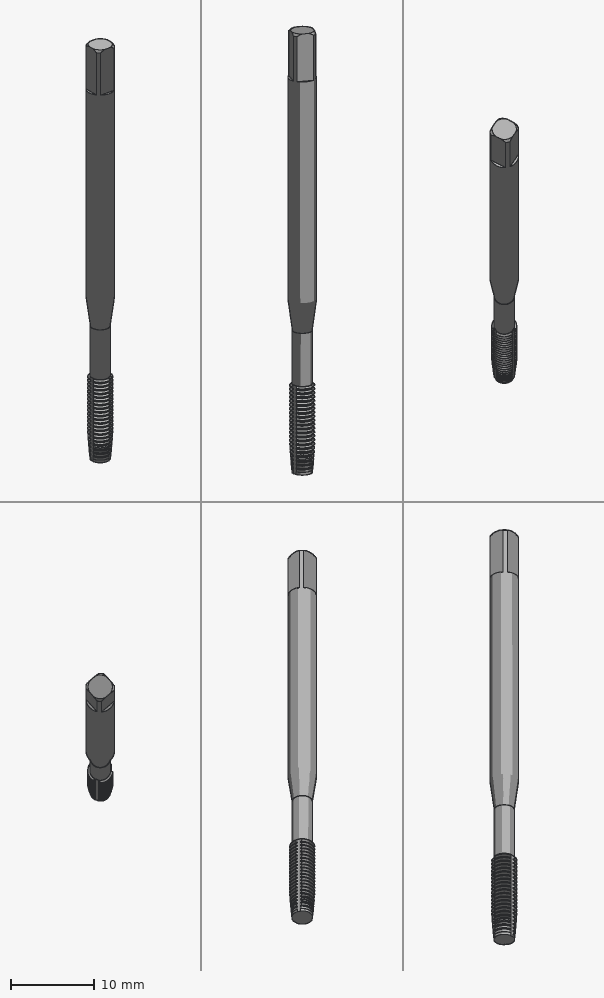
import cadquery as cq
import math

total_length = 56.0

shank_radius = 3.5 / 2
square_width = 2.8
square_length = 6.0
square_end_radius = 1.45

neck_radius = 2.5 / 2
neck_top = 18.0
cone_length = 4.0
cone_tip_radius = 2.4 / 2

thread_length = 11.25
thread_radius = 3.0 / 2
root_radius = neck_radius
pitch = 0.5
crest_flat = pitch / 8
root_flat = pitch / 4
lead_length = 3.35
tip_radius = root_radius

flute_count = 3
flute_radius = 0.55
flute_floor = 2.4 / 2
flute_start_angle = -90.0


def revolve_about_axis(outline):
    """Revolve (radius, height) points about Z, starting from the -Y side."""
    points = [(-radius, height) for radius, height in outline]
    return cq.Workplane("YZ").polyline(points).close().revolve(360, (0, 0), (0, 1))


def make_shank():
    """Neck, cone and cylindrical shank, ending in a driving square."""
    end_chamfer = shank_radius - square_end_radius
    shank = revolve_about_axis([
        (0, thread_length),
        (neck_radius, thread_length),
        (neck_radius, neck_top),
        (cone_tip_radius, neck_top),
        (shank_radius, neck_top + cone_length),
        (shank_radius, total_length - end_chamfer),
        (square_end_radius, total_length),
        (0, total_length),
    ])
    block_width = 2 * shank_radius + square_width
    square_base = cq.Workplane("XY").workplane(offset=total_length - square_length)
    around_square = (
        square_base.rect(block_width, block_width)
        .rect(square_width, square_width)
        .extrude(square_length)
    )
    return shank.cut(around_square)


def make_thread_blank():
    """Ring-shaped teeth, one per pitch, counted down from the top of the thread."""
    half_crest = crest_flat / 2
    half_root_span = (pitch - root_flat) / 2
    outline = [(0, thread_length), (root_radius, thread_length)]
    tooth_count = math.floor(thread_length / pitch)
    for tooth in range(tooth_count):
        middle = thread_length - (tooth + 0.5) * pitch
        outline += [
            (root_radius, middle + half_root_span),
            (thread_radius, middle + half_crest),
            (thread_radius, middle - half_crest),
            (root_radius, middle - half_root_span),
        ]
    outline += [(root_radius, 0), (0, 0)]
    return revolve_about_axis(outline)


def make_lead_envelope():
    """Tapered tip and full-diameter length that bound the tooth crests."""
    return revolve_about_axis([
        (0, 0),
        (tip_radius, 0),
        (thread_radius, lead_length),
        (thread_radius, thread_length),
        (0, thread_length),
    ])


def make_flute(angle):
    """Straight round-bottomed groove along the whole thread."""
    flute = cq.Workplane("XY").center(flute_floor + flute_radius, 0).circle(flute_radius)
    return flute.extrude(thread_length).rotate((0, 0, 0), (0, 0, 1), angle)


def make_threaded_head():
    head = make_thread_blank().intersect(make_lead_envelope())
    for index in range(flute_count):
        head = head.cut(make_flute(flute_start_angle + index * 360 / flute_count))
    return head


shank = make_shank()
threaded_head = make_threaded_head()

result = cq.Compound.makeCompound([shank.val(), threaded_head.val()])